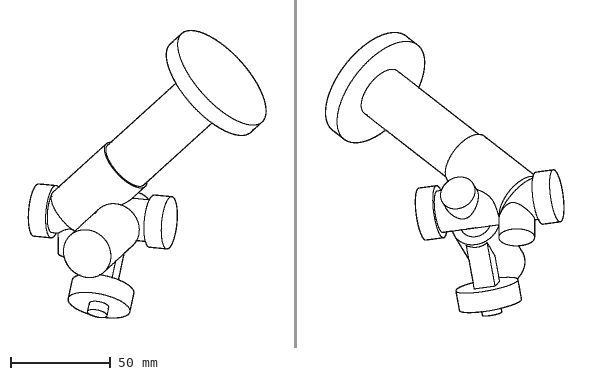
import cadquery as cq
import math


cross_length = 70.1
cross_diameter = 21.0
cap_diameter = 26.5
cap_thickness = 9.2

arm_x = 19.0
arm_angle = 45.0
sleeve_diameter = 29.0
sleeve_length = 39.8
tube_diameter = 27.0
flange_diameter = 60.0
flange_thickness = 8.6
arm_length = 111.4

stub_diameter = 18.0
lower_stub_x = 20.9
lower_stub_reach = 20.6
rear_stub_reach = 16.6

barrel_x = 46.9
barrel_diameter = 25.0
barrel_start = 16.0
barrel_end = 62.4
neck_diameter = 16.0

knob_angle = 50.0
knob_y = -36.5
knob_z = -25.0
knob_diameter = 31.8
knob_thickness = 10.2
pin_diameter = 10.0
pin_length = 4.6
stem_width = 10.9
stem_length = 22.9


def cylinder(start, direction, diameter, length):
    return cq.Workplane(cq.Solid.makeCylinder(diameter / 2, length, cq.Vector(*start), cq.Vector(*direction)))


def make_cross_tube():
    along = (1, 0, 0)
    body = cylinder((0, 0, 0), along, cross_diameter, cross_length)
    for cap_x in (0, cross_length - cap_thickness):
        body = body.union(cylinder((cap_x, 0, 0), along, cap_diameter, cap_thickness))
    return body


def make_arm():
    angle = math.radians(arm_angle)
    along = (math.cos(angle), 0, math.sin(angle))
    base = (arm_x, 0, 0)
    flange_offset = arm_length - flange_thickness
    flange_base = (arm_x + flange_offset * along[0], 0, flange_offset * along[2])
    sleeve = cylinder(base, along, sleeve_diameter, sleeve_length)
    tube = cylinder(base, along, tube_diameter, arm_length)
    flange = cylinder(flange_base, along, flange_diameter, flange_thickness)
    return sleeve.union(tube).union(flange)


def make_stubs():
    lower = cylinder((lower_stub_x, 0, 0), (0, 0, -1), stub_diameter, lower_stub_reach)
    rear = cylinder((barrel_x, 0, 0), (0, 1, 0), stub_diameter, rear_stub_reach)
    return lower.union(rear)


def make_barrel():
    forward = (0, -1, 0)
    neck = cylinder((barrel_x, 0, 0), forward, neck_diameter, barrel_end)
    barrel_base = (barrel_x, -barrel_start, 0)
    barrel = cylinder(barrel_base, forward, barrel_diameter, barrel_end - barrel_start)
    return neck.union(barrel)


def make_knob():
    angle = math.radians(knob_angle)
    along = (0, -math.cos(angle), -math.sin(angle))
    base = (barrel_x, knob_y, knob_z)
    knob = cylinder(base, along, knob_diameter, knob_thickness)
    pin = cylinder(base, along, pin_diameter, knob_thickness + pin_length)
    stem_plane = cq.Plane(origin=base, xDir=(1, 0, 0), normal=along)
    stem = cq.Workplane(stem_plane).rect(stem_width, stem_width).extrude(-stem_length)
    return knob.union(pin).union(stem)


result = (
    make_cross_tube()
    .union(make_arm())
    .union(make_stubs())
    .union(make_barrel())
    .union(make_knob())
)